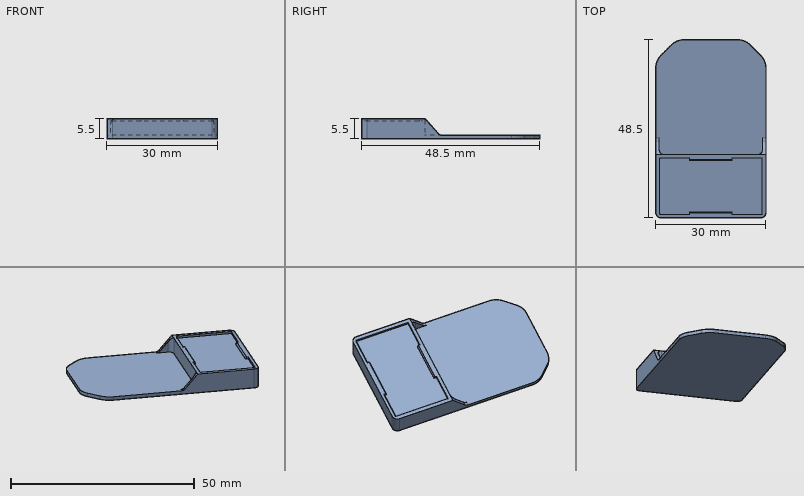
import cadquery as cq

WIDTH = 30.0
LENGTH = 48.5
HEIGHT = 5.5

PLATE_THICKNESS = 1.0
REAR_CORNER_CUT = 5.7
REAR_CORNER_RADIUS = 5.0

BOX_LENGTH = 17.25
FRONT_CORNER_RADIUS = 1.5

RIB_RUN = 4.0
RIB_WIDTH = 0.95
RIB_FOOT_RADIUS = 1.2
RIB_INNER_RADIUS = 1.25

SIDE_WALL = 1.1
END_WALL = 0.9
POCKET_DEPTH = 0.6
POCKET_CORNER_RADIUS = 0.25
TAB_LENGTH = 11.6
TAB_TOP_REACH = 0.45
TAB_BOTTOM_REACH = 0.75

FRONT_Y = -LENGTH / 2
REAR_Y = LENGTH / 2
BOX_REAR_Y = FRONT_Y + BOX_LENGTH
RIB_FOOT_Y = BOX_REAR_Y + RIB_RUN
BOX_CENTER_Y = FRONT_Y + BOX_LENGTH / 2
POCKET_WIDTH = WIDTH - 2 * SIDE_WALL
POCKET_LENGTH = BOX_LENGTH - 2 * END_WALL
POCKET_FLOOR_Z = HEIGHT - POCKET_DEPTH


def side_profile_body():
    """Extrude the stepped side profile across the full width."""
    profile = [
        (FRONT_Y, 0),
        (REAR_Y, 0),
        (REAR_Y, PLATE_THICKNESS),
        (RIB_FOOT_Y, PLATE_THICKNESS),
        (BOX_REAR_Y, HEIGHT),
        (FRONT_Y, HEIGHT),
    ]
    body = cq.Workplane("YZ").polyline(profile).close().extrude(WIDTH / 2, both=True)
    foot_edge = cq.selectors.NearestToPointSelector((0, RIB_FOOT_Y, PLATE_THICKNESS))
    return body.edges(foot_edge).fillet(RIB_FOOT_RADIUS)


def round_outline(body):
    """Cut the rear corners at 45 degrees and round all outline corners."""
    body = body.edges("|Z and >Y").chamfer(REAR_CORNER_CUT)
    half_width = WIDTH / 2
    for side in (-1, 1):
        cut_ends = [
            (side * (half_width - REAR_CORNER_CUT), REAR_Y),
            (side * half_width, REAR_Y - REAR_CORNER_CUT),
        ]
        for x, y in cut_ends:
            edge = cq.selectors.NearestToPointSelector((x, y, PLATE_THICKNESS / 2))
            body = body.edges(edge).fillet(REAR_CORNER_RADIUS)
    return body.edges("|Z and <Y").fillet(FRONT_CORNER_RADIUS)


def rib_gap():
    """Space between the ribs, rounded where they meet the box."""
    gap_length = REAR_Y - BOX_REAR_Y
    return (
        cq.Workplane("XY", origin=(0, BOX_REAR_Y + gap_length / 2, PLATE_THICKNESS))
        .rect(WIDTH - 2 * RIB_WIDTH, gap_length)
        .extrude(HEIGHT)
        .edges("|Z and <Y")
        .fillet(RIB_INNER_RADIUS)
    )


def pocket():
    """Rounded rectangular recess in the box top."""
    return (
        cq.Workplane("XY", origin=(0, BOX_CENTER_Y, POCKET_FLOOR_Z))
        .rect(POCKET_WIDTH, POCKET_LENGTH)
        .extrude(POCKET_DEPTH)
        .edges("|Z")
        .fillet(POCKET_CORNER_RADIUS)
    )


def tab(side):
    """Bevelled tab on the front (-1) or rear (+1) pocket wall, flush with the rim."""
    wall_y = BOX_CENTER_Y + side * POCKET_LENGTH / 2
    section = [
        (wall_y, POCKET_FLOOR_Z),
        (wall_y - side * TAB_BOTTOM_REACH, POCKET_FLOOR_Z),
        (wall_y - side * TAB_TOP_REACH, HEIGHT),
        (wall_y, HEIGHT),
    ]
    return cq.Workplane("YZ").polyline(section).close().extrude(TAB_LENGTH / 2, both=True)


result = round_outline(side_profile_body()).cut(rib_gap()).cut(pocket())
for wall_side in (-1, 1):
    result = result.union(tab(wall_side))